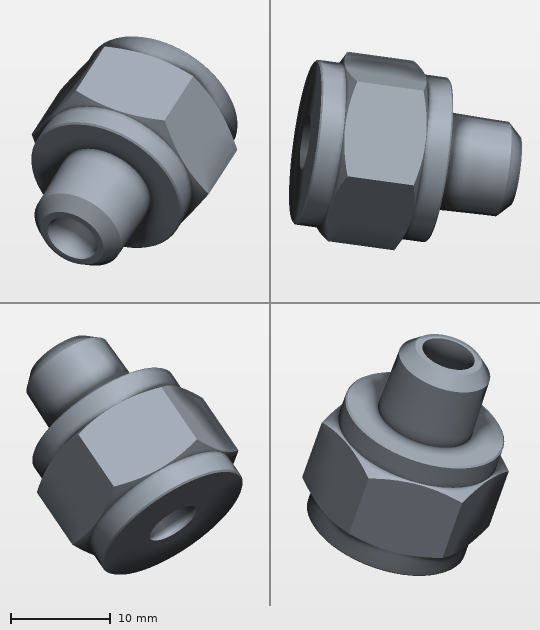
import cadquery as cq
import math

total_length = 21.5
across_flats = 17.0
across_corners = across_flats / math.cos(math.radians(30))

bore_diameter = 5.5
tip_diameter = 6.99
stub_front_diameter = 9.59
stub_base_diameter = 9.93
tip_chamfer_length = 1.33
stub_length = 8.0

collar_diameter = 16.7
front_collar_length = 2.54
rear_collar_length = 2.5
collar_chamfer = 0.17
hex_chamfer_angle = 30

hex_front = stub_length + front_collar_length
hex_back = total_length - rear_collar_length


def revolve_profile(points):
    """Revolve a closed (radius, Y) outline around the Y axis."""
    return cq.Workplane("XY").polyline(points).close().revolve(360, (0, 0, 0), (0, 1, 0))


def make_stub():
    """Tapered stub with a conical tip."""
    return revolve_profile([
        (0, 0),
        (tip_diameter / 2, 0),
        (stub_front_diameter / 2, tip_chamfer_length),
        (stub_base_diameter / 2, stub_length),
        (0, stub_length),
    ])


def make_collars():
    """Round body through the nut, with both end edges chamfered."""
    radius = collar_diameter / 2
    return revolve_profile([
        (0, stub_length),
        (radius - collar_chamfer, stub_length),
        (radius, stub_length + collar_chamfer),
        (radius, total_length - collar_chamfer),
        (radius - collar_chamfer, total_length),
        (0, total_length),
    ])


def make_hexagon():
    """Hexagon with corners on X, its ends trimmed by cones that start at the collars."""
    prism = (
        cq.Workplane("XZ", origin=(0, hex_back, 0))
        .polygon(6, across_corners)
        .extrude(hex_back - hex_front)
    )
    inner_radius = collar_diameter / 2
    outer_radius = across_corners / 2
    cone_length = (outer_radius - inner_radius) * math.tan(math.radians(hex_chamfer_angle))
    envelope = revolve_profile([
        (0, hex_front),
        (inner_radius, hex_front),
        (outer_radius, hex_front + cone_length),
        (outer_radius, hex_back - cone_length),
        (inner_radius, hex_back),
        (0, hex_back),
    ])
    return prism.intersect(envelope)


def make_bore():
    """Straight hole through the whole length."""
    return cq.Workplane("XZ").circle(bore_diameter / 2).extrude(-total_length)


result = make_stub().union(make_collars()).union(make_hexagon()).cut(make_bore())